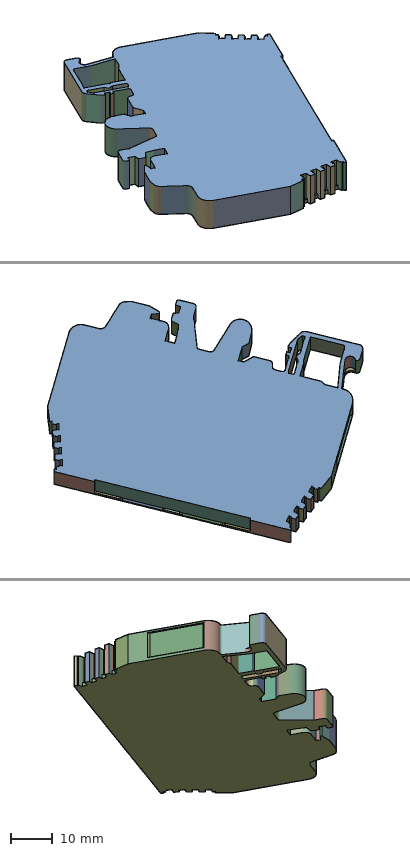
import cadquery as cq
import math

LENGTH = 70.0
HEIGHT = 50.44
THICKNESS = 8.0
LIP = 1.0
HALF = LENGTH / 2
SHORTEST_EDGE = 1e-4

HOUSING_BOTTOM = 12.05
UNDERSIDE = 11.45
HOUSING_RADIUS = 3.0
SHOULDER_Y = 34.4
SHOULDER_TOP = (33.45, 38.3)
SHOULDER_RADIUS = 0.3
SHOULDER_NOTCH = (32.95, 38.0)
SHOULDER_BUMP_X = 32.75

GRIP_ANGLE = math.radians(20.2)
GRIP_PITCH = 3.1
TOOTH_COUNT = 3
GRIP_START = (28.43, 47.37)
TOOTH_LENGTH = 1.25
TOOTH_TIP_DROP = (1.65, -1.25)
GRIP_SLOT_TOP_OFFSET = (0.82, -1.65)
GRIP_SLOT_OVERRUN = 0.25
GRIP_SLOT_DEPTH = 0.6
CAP_HALF = 29.25
CAP_RADIUS = 0.35
CAP_THICKNESS = 0.75
CAP_NECK_X = 28.75
CAP_BARB = (29.0, 49.25)

TOP_LABEL_LENGTH = 38.4
LABEL_DEPTH = 0.5
NOTCH_INNER_X = 1.8
NOTCH_OUTER_X = 12.9
NOTCH_DEPTH = 0.25
NOTCH_RAMP_ANGLE = math.radians(30)
NOTCH_FLOOR_ANGLE = math.radians(20)
NOTCH_RAMP = NOTCH_DEPTH / math.tan(NOTCH_RAMP_ANGLE)
NOTCH_FALL = LABEL_DEPTH * math.tan(NOTCH_FLOOR_ANGLE)

SIDE_LABEL_BOTTOM = HOUSING_BOTTOM + HOUSING_RADIUS
SIDE_LABEL_TOP = 29.4
SIDE_LABEL_BACK = 0.8
SIDE_LABEL_FRONT = 7.5
SIDE_LABEL_TAPER = 0.45

ARM_TOP_X = -31.5
ARM_FOOT_X = -30.28
ARM_ROOT_RADIUS = 0.45
JAW_LEFT = -33.75
JAW_TOP = 4.15
JAW_NOSE_RADIUS = 0.8
JAW_FOOT_RADIUS = 1.05
ARM_SLOPE = (ARM_FOOT_X - ARM_TOP_X) / (JAW_TOP - HOUSING_BOTTOM)
ARM_JAW_RADIUS = 1.6
SEAT_FLOOR = 3.43
SEAT_TOP = 6.5
SEAT_LEFT = -32.95
SEAT_RADIUS = 1.25
CLIP_TOE = (-18.75, 0.0)
CLIP_TOE_RADIUS = 1.45
CLIP_RIGHT = -17.25
CLIP_BARB_X = -16.4
BARB_TOP = 7.12
BARB_BOTTOM = 6.27
CLIP_CHEEK_TOP = 4.98
CLIP_CHEEK_EDGE = 4.7
CLIP_CHEEK = (-16.6, 3.91)
CLIP_ROOT_RADIUS = 0.6

WINDOW_FLOOR = 1.1
WINDOW_LEFT_TOP = -30.53
WINDOW_LEFT = -29.46
WINDOW_LEFT_KNEE = 5.85
WINDOW_STEP = (-27.43, -26.3)
WINDOW_RIGHT = -20.88
WINDOW_RIGHT_TOP = -21.07
WINDOW_RIGHT_KNEE = (7.5, 7.77)
WINDOW_FLOOR_RADIUS = 0.55
WINDOW_TOP_RADIUS = 0.25

SLOT_LEFT = -19.6
SLOT_RIGHT = -18.1
SLOT_FLOOR = 1.32
SLOT_BEVEL_X = -18.95
SLOT_BEVEL_Y = 2.5
SLOT_RADIUS = 0.4
SLOT_BUMP_Y = 6.73
SLOT_BUMP_HALF = 1.05
SLOT_BUMP_WIDTH = 0.7
SLOT_BUMP_RADIUS = 0.2

RIB_LEFT = -14.03
RIB_BOTTOM = 9.48
RIB_RIGHT = -9.11
RIB_RIGHT_TOP = -7.18
RIB_RADIUS = 0.98

FLANK_ANGLE = math.radians(15)
FLANK_SLOPE = math.tan(FLANK_ANGLE)
FINGER_ROOT_X = -5.85
FINGER_ROOT_Y = 7.77
FINGER_SHOULDER = (-7.15, 6.5)
FINGER_SHOULDER_RADIUS = 0.3
FINGER_LEFT = -6.95
FINGER_BOTTOM = 0.91
FINGER_RIGHT = -2.1
FINGER_LEFT_ANGLE = math.atan((FINGER_LEFT - FINGER_SHOULDER[0]) / (FINGER_SHOULDER[1] - FINGER_BOTTOM))
FINGER_LEFT_TURN = math.pi / 2 - FINGER_LEFT_ANGLE
FINGER_RIGHT_TURN = math.pi / 2 - FLANK_ANGLE
FINGER_RADIUS = (FINGER_RIGHT - FINGER_LEFT) / (
    math.tan(FINGER_LEFT_TURN / 2) + math.tan(FINGER_RIGHT_TURN / 2)
)
GAP_TOP = 11.02
GAP_LEFT_RADIUS = 1.05
GAP_RIGHT_RADIUS = 0.6

SPRING_ROOT_X = 4.35
SPRING_KNEE = (7.39, 3.1)
SPRING_FOOT_RADIUS = 0.9
SPRING_RIGHT = 12.32
SPRING_TOE_RADIUS = 0.5
SPRING_NOTCH_X = 11.04
SPRING_NOTCH_BOTTOM = 1.55
SPRING_NOTCH_TOP = 3.27
SPRING_NOTCH_LIP = 3.7
SPRING_HEAD = 5.7
SPRING_HEAD_RADIUS = 0.7
SPRING_NECK = (10.25, 6.15)
SPRING_NECK_TOP = (9.96, 8.5)

HOOK_INNER_RADIUS = 1.5
HOOK_ROOF = 6.31
HOOK_BACK = 17.25
HOOK_BACK_BOTTOM = 5.2
HOOK_TIP_X = 15.5
HOOK_TIP_TOP = 4.66
HOOK_TIP_BOTTOM = 4.15
HOOK_SOLE = 3.3
HOOK_SOLE_X = 18.25
HOOK_SOLE_END = 22.7
HOOK_TOE = (25.08, 4.04)
HOOK_TOE_RADIUS = 2.0
HOOK_ROOT_RADIUS = 1.5


def rounded_outline(corners):
    """Closed outline through corners (x, y) or (x, y, radius), each radius rounding its corner."""
    path = []
    count = len(corners)
    for i, corner in enumerate(corners):
        point = cq.Vector(corner[0], corner[1])
        if len(corner) == 2:
            path.append((point, None, point))
            continue
        radius = corner[2]
        before = corners[i - 1]
        after = corners[(i + 1) % count]
        to_before = (cq.Vector(before[0], before[1]) - point).normalized()
        to_after = (cq.Vector(after[0], after[1]) - point).normalized()
        half_angle = to_before.getAngle(to_after) / 2
        setback = radius / math.tan(half_angle)
        bisector = (to_before + to_after).normalized()
        middle = point + bisector * (radius / math.sin(half_angle) - radius)
        path.append((point + to_before * setback, middle, point + to_after * setback))

    last = path[-1][2]
    outline = cq.Workplane("XY").moveTo(last.x, last.y)
    for start, middle, end in path:
        if (start - last).Length > SHORTEST_EDGE:
            outline = outline.lineTo(start.x, start.y)
        last = end
        if middle is not None:
            outline = outline.threePointArc((middle.x, middle.y), (end.x, end.y))
    return outline.close()


def shifted(point, offset, steps=0):
    """Point moved by an offset, then by whole grip pitches down the right flank."""
    x = point[0] + offset[0] + steps * GRIP_PITCH * math.sin(GRIP_ANGLE)
    y = point[1] + offset[1] - steps * GRIP_PITCH * math.cos(GRIP_ANGLE)
    return (x, y)


def grip_flank():
    """Right flank from the shoulder up to the cap, with the teeth."""
    corners = [
        (HALF, SHOULDER_Y),
        (*SHOULDER_TOP, SHOULDER_RADIUS),
        SHOULDER_NOTCH,
        (SHOULDER_BUMP_X, shifted(GRIP_START, (0, 0), TOOTH_COUNT)[1]),
        shifted(GRIP_START, (0, 0), TOOTH_COUNT),
    ]
    for step in reversed(range(TOOTH_COUNT)):
        corners += [
            shifted(GRIP_START, GRIP_SLOT_TOP_OFFSET, step),
            shifted(GRIP_START, TOOTH_TIP_DROP, step),
            shifted(GRIP_START, (TOOTH_LENGTH, 0), step),
            shifted(GRIP_START, (0, 0), step),
        ]
    corners += [
        shifted(GRIP_START, GRIP_SLOT_TOP_OFFSET, -1),
        CAP_BARB,
        (CAP_NECK_X, HEIGHT - CAP_THICKNESS),
        (CAP_HALF, HEIGHT - CAP_THICKNESS, CAP_RADIUS),
        (CAP_HALF, HEIGHT, CAP_RADIUS),
    ]
    return corners


def clip_foot():
    """Outside of the clip foot, from its arm round to the underside."""
    return [
        (ARM_TOP_X, HOUSING_BOTTOM, ARM_ROOT_RADIUS),
        (ARM_FOOT_X, JAW_TOP, ARM_JAW_RADIUS),
        (JAW_LEFT, JAW_TOP, JAW_NOSE_RADIUS),
        (JAW_LEFT, 0, JAW_FOOT_RADIUS),
        (*CLIP_TOE, CLIP_TOE_RADIUS),
        CLIP_CHEEK,
        (CLIP_BARB_X, CLIP_CHEEK_EDGE),
        (CLIP_BARB_X, CLIP_CHEEK_TOP),
        (CLIP_RIGHT, CLIP_CHEEK_TOP),
        (CLIP_RIGHT, BARB_BOTTOM),
        (CLIP_BARB_X, BARB_BOTTOM),
        (CLIP_BARB_X, BARB_TOP),
        (CLIP_RIGHT, BARB_TOP),
        (CLIP_RIGHT, UNDERSIDE, CLIP_ROOT_RADIUS),
    ]


def rib_and_finger():
    """Underside rib and the round-ended finger, up to the gap on the finger's right."""
    gap_left = FINGER_RIGHT + (GAP_TOP - FINGER_BOTTOM) * FLANK_SLOPE
    return [
        (RIB_LEFT, UNDERSIDE, RIB_RADIUS),
        (RIB_LEFT, RIB_BOTTOM, RIB_RADIUS),
        (RIB_RIGHT, RIB_BOTTOM),
        (RIB_RIGHT_TOP, UNDERSIDE),
        (FINGER_ROOT_X, UNDERSIDE),
        (FINGER_ROOT_X, FINGER_ROOT_Y),
        (*FINGER_SHOULDER, FINGER_SHOULDER_RADIUS),
        (FINGER_LEFT, FINGER_BOTTOM, FINGER_RADIUS),
        (FINGER_RIGHT, FINGER_BOTTOM, FINGER_RADIUS),
        (gap_left, GAP_TOP, GAP_LEFT_RADIUS),
    ]


def spring_foot():
    """Slanted spring foot with its latch notch."""
    return [
        (SPRING_ROOT_X, GAP_TOP, GAP_RIGHT_RADIUS),
        SPRING_KNEE,
        (SPRING_KNEE[0], 0, SPRING_FOOT_RADIUS),
        (SPRING_RIGHT, 0, SPRING_TOE_RADIUS),
        (SPRING_RIGHT, SPRING_NOTCH_BOTTOM),
        (SPRING_NOTCH_X, SPRING_NOTCH_BOTTOM),
        (SPRING_NOTCH_X, SPRING_NOTCH_TOP),
        (SPRING_RIGHT, SPRING_NOTCH_LIP),
        (SPRING_RIGHT, SPRING_HEAD, SPRING_HEAD_RADIUS),
        SPRING_NECK,
        SPRING_NECK_TOP,
        (SPRING_NECK_TOP[0], GAP_TOP),
    ]


def hook_foot():
    """Hook foot facing the spring foot, with a slanted outer flank."""
    flank_top = HOOK_TOE[0] + (HOUSING_BOTTOM - HOOK_TOE[1]) * FLANK_SLOPE
    return [
        (SPRING_RIGHT, GAP_TOP),
        (SPRING_RIGHT, HOOK_ROOF, HOOK_INNER_RADIUS),
        (HOOK_BACK, HOOK_ROOF),
        (HOOK_BACK, HOOK_BACK_BOTTOM),
        (HOOK_TIP_X, HOOK_TIP_TOP),
        (HOOK_TIP_X, HOOK_TIP_BOTTOM),
        (HOOK_SOLE_X, HOOK_SOLE),
        (HOOK_SOLE_END, HOOK_SOLE),
        (*HOOK_TOE, HOOK_TOE_RADIUS),
        (flank_top, HOUSING_BOTTOM, HOOK_ROOT_RADIUS),
    ]


def mirrored(corners):
    """Corners reflected to the left flank, in reverse order to keep the outline's direction."""
    return [(-corner[0], *corner[1:]) for corner in reversed(corners)]


def housing():
    right_flank = [(HALF, HOUSING_BOTTOM, HOUSING_RADIUS)] + grip_flank()
    feet = clip_foot() + rib_and_finger() + spring_foot() + hook_foot()
    return rounded_outline(feet + right_flank + mirrored(right_flank)).extrude(THICKNESS)


def clip_window():
    corners = [
        (WINDOW_LEFT_TOP, HOUSING_BOTTOM),
        (WINDOW_LEFT, WINDOW_LEFT_KNEE),
        (WINDOW_LEFT, WINDOW_FLOOR, WINDOW_FLOOR_RADIUS),
        (WINDOW_RIGHT, WINDOW_FLOOR),
        (WINDOW_RIGHT, WINDOW_RIGHT_KNEE[0]),
        (WINDOW_RIGHT_TOP, WINDOW_RIGHT_KNEE[1]),
        (WINDOW_RIGHT_TOP, UNDERSIDE, WINDOW_TOP_RADIUS),
        (WINDOW_STEP[1], UNDERSIDE),
        (WINDOW_STEP[0], HOUSING_BOTTOM),
    ]
    return rounded_outline(corners).extrude(THICKNESS)


def spring_slot():
    corners = [
        (SLOT_LEFT, UNDERSIDE, SLOT_RADIUS),
        (SLOT_LEFT, SLOT_BUMP_Y + SLOT_BUMP_HALF),
        (SLOT_LEFT + SLOT_BUMP_WIDTH, SLOT_BUMP_Y, SLOT_BUMP_RADIUS),
        (SLOT_LEFT, SLOT_BUMP_Y - SLOT_BUMP_HALF),
        (SLOT_LEFT, SLOT_FLOOR),
        (SLOT_BEVEL_X, SLOT_FLOOR),
        (SLOT_RIGHT, SLOT_BEVEL_Y),
        (SLOT_RIGHT, UNDERSIDE, SLOT_RADIUS),
    ]
    return rounded_outline(corners).extrude(THICKNESS)


def arm_x(y):
    """Outer face of the clip arm at height y."""
    return ARM_TOP_X + (y - HOUSING_BOTTOM) * ARM_SLOPE


def clip_seat():
    """Rounded seat between the arm and the jaw; the lip behind it stays."""
    corners = [
        (SEAT_LEFT, SEAT_TOP),
        (SEAT_LEFT, SEAT_FLOOR, SEAT_RADIUS),
        (arm_x(SEAT_FLOOR), SEAT_FLOOR, SEAT_RADIUS),
        (arm_x(SEAT_TOP), SEAT_TOP),
    ]
    return rounded_outline(corners).extrude(THICKNESS - LIP).translate((0, 0, LIP))


def grip_slots():
    """Deeper part of every grip slot, in front of the lip, on both flanks."""
    inward = (-GRIP_SLOT_DEPTH * math.cos(GRIP_ANGLE), -GRIP_SLOT_DEPTH * math.sin(GRIP_ANGLE))
    overrun = (GRIP_SLOT_OVERRUN * math.sin(GRIP_ANGLE), -GRIP_SLOT_OVERRUN * math.cos(GRIP_ANGLE))
    slots = cq.Workplane("XY")
    for step in range(TOOTH_COUNT + 1):
        top = shifted(GRIP_START, GRIP_SLOT_TOP_OFFSET, step - 1)
        bottom = shifted(GRIP_START, overrun, step)
        corners = [top, bottom, shifted(bottom, inward), shifted(top, inward)]
        slot = cq.Workplane("XY", origin=(0, 0, LIP)).polyline(corners).close().extrude(THICKNESS - LIP)
        slots = slots.add(slot).add(slot.mirror("YZ"))
    return slots.combine()


def top_label_recess():
    """Shallow label recess in the top edge, open at the front face."""
    recess = cq.Workplane("XY", origin=(0, HEIGHT - LABEL_DEPTH / 2, LIP))
    return recess.rect(TOP_LABEL_LENGTH, LABEL_DEPTH).extrude(THICKNESS - LIP)


def top_label_notch():
    """Right-hand finger notch in the label recess: ramped ends and a floor falling outwards."""
    floor_y = HEIGHT - LABEL_DEPTH
    notch_floor = LIP - NOTCH_DEPTH
    deepest = notch_floor - NOTCH_FALL
    reach = (LIP - deepest) / NOTCH_DEPTH * NOTCH_RAMP
    ends = [
        (NOTCH_INNER_X, LIP),
        (NOTCH_INNER_X + reach, deepest),
        (NOTCH_OUTER_X - reach, deepest),
        (NOTCH_OUTER_X, LIP),
    ]
    floor = [(floor_y, LIP), (floor_y, notch_floor), (HEIGHT, deepest), (HEIGHT, LIP)]
    ramped = cq.Workplane("XZ").polyline(ends).close().extrude(-HEIGHT)
    sloped = cq.Workplane("YZ").polyline(floor).close().extrude(HALF)
    return ramped.intersect(sloped)


def side_label_recess():
    """Shallow label recess in the left end, tapering on its back, upper and lower sides."""
    mouth_y = SIDE_LABEL_TOP - SIDE_LABEL_BOTTOM
    mouth_z = SIDE_LABEL_FRONT - SIDE_LABEL_BACK
    center_y = (SIDE_LABEL_TOP + SIDE_LABEL_BOTTOM) / 2
    center_z = (SIDE_LABEL_FRONT + SIDE_LABEL_BACK) / 2
    floor_rise = SIDE_LABEL_TAPER / 2
    mouth = cq.Workplane("YZ", origin=(-HALF, center_y, center_z)).rect(mouth_y, mouth_z)
    floor = mouth.workplane(offset=LABEL_DEPTH).center(0, floor_rise / 2)
    return floor.rect(mouth_y - 2 * SIDE_LABEL_TAPER, mouth_z - floor_rise).loft(ruled=True)


result = housing().cut(clip_window()).cut(spring_slot()).cut(clip_seat()).cut(grip_slots())
result = result.cut(top_label_recess())
notch = top_label_notch()
result = result.cut(notch).cut(notch.mirror("YZ"))
result = result.cut(side_label_recess())